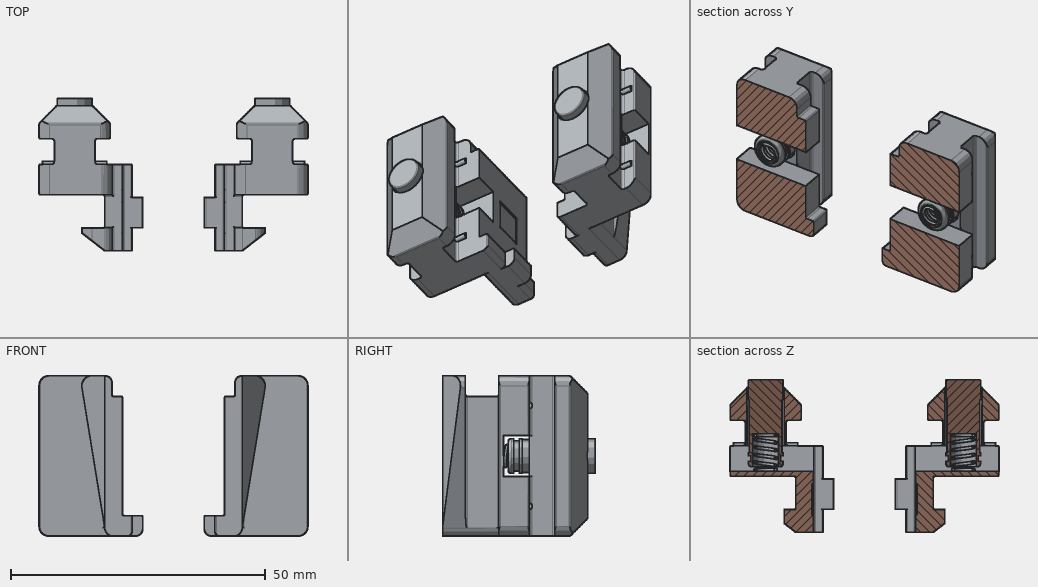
import cadquery as cq


OVERALL_WIDTH = 52.8
HEIGHT = 31.5
TOP = HEIGHT / 2
BOTTOM = -HEIGHT / 2

HEAD_WIDTH = 14.0
HEAD_FRONT = 22.0
HEAD_REAR = 28.5
HEAD_CHAMFER = 3.5
HEAD_CHAMFER_BLEND = 0.5
BLOCK_ROUND = 2.0

NECK_LEFT = 3.0
NECK_RIGHT = HEAD_WIDTH - NECK_LEFT
NECK_FILLET = 0.5

LUG_WIDTH = 14.35
LUG_FRONT = 11.0
LUG_REAR = 17.0
EDGE_FILLET = 0.3

RIDGE_RADIUS = 0.6
RIDGE_INSET = 0.65
RIDGE_HEIGHT = 9.9

WINDOW_FRONT = 12.0
WINDOW_HEIGHT = 8.0

PLATE_LEFT = 12.9
PLATE_RIGHT = 16.4
PLATE_TOP = 11.7
PLATE_ROUND = 1.7
LIP_TOP = -11.7
LIP_RIGHT = 18.3
LIP_ROUND = 1.0
TAB_RIGHT = 20.4
TAB_ROUND = 1.5
TAB_FRONT = 4.5
TAB_REAR = 10.5

RECESS_FRONT = 3.5
RECESS_LENGTH = 6.0
RECESS_HEIGHT = 6.8
RECESS_DEPTH = 0.3

HOOK_REAR = 4.5
HOOK_ROUND = 1.4
WING_TIP = 8.05
WING_BOTTOM = BOTTOM + PLATE_ROUND
WING_ROUND = 2.0
WING_TIP_FRONT = 3.8

BUTTON_X = HEAD_WIDTH / 2
BORE_DIAMETER = 7.3
BUTTON_DIAMETER = 6.85
SHANK_DIAMETER = 6.5
GROOVE_DIAMETER = 6.0
SOCKET_DIAMETER = 5.0
BUTTON_REAR = 30.0
BUTTON_FRONT = 12.87
CAP_FRONT = 26.0
COLLAR_REAR = 15.6
GROOVE_REAR = 15.0
GROOVE_FRONT = 14.0
BUTTON_NOSE_ROUND = 0.6
BUTTON_CAP_ROUND = 0.25

COIL_DIAMETER = 4.0
WIRE_DIAMETER = 0.6
COIL_PITCH = 1.5
COIL_TURNS = 4.5
COIL_LENGTH = COIL_PITCH * COIL_TURNS

SELECTION_MARGIN = 0.01


def block(x_range, y_range, z_range):
    """Box between the given limits along each axis."""
    limits = (x_range, y_range, z_range)
    sizes = [high - low for low, high in limits]
    corner = [low for low, high in limits]
    return cq.Workplane("XY").box(*sizes, centered=False).translate(tuple(corner))


def edges_within(body, low, high):
    """Edges of the body whose middles lie between two corners, with a small margin."""
    low = tuple(value - SELECTION_MARGIN for value in low)
    high = tuple(value + SELECTION_MARGIN for value in high)
    return body.edges(cq.selectors.BoxSelector(low, high))


def make_head():
    """Overlap of three outlines: chamfered plan, chamfered side profile and rounded front outline."""
    full = block((0, HEAD_WIDTH), (HEAD_FRONT, HEAD_REAR), (BOTTOM, TOP))
    blend_y = HEAD_REAR - HEAD_CHAMFER

    plan = full.edges("|Z and >Y").chamfer(HEAD_CHAMFER)
    plan = edges_within(plan, (0, blend_y, 0), (HEAD_WIDTH, blend_y, 0)).fillet(HEAD_CHAMFER_BLEND)
    plan = plan.edges("|Z and <Y").fillet(EDGE_FILLET)

    mid_x = HEAD_WIDTH / 2
    profile = full.edges("|X and >Y").chamfer(HEAD_CHAMFER)
    profile = edges_within(profile, (mid_x, blend_y, BOTTOM), (mid_x, blend_y, TOP))
    profile = profile.fillet(HEAD_CHAMFER_BLEND)

    rounded = full.edges("|Y").fillet(BLOCK_ROUND)
    return plan.intersect(profile).intersect(rounded)


def make_lug():
    """Overlap of a plan with softened outer edges and a front outline with rounded corners."""
    full = block((0, LUG_WIDTH), (LUG_FRONT, LUG_REAR), (BOTTOM, TOP))
    plan = full.edges("|Z and <X").fillet(EDGE_FILLET)
    rounded = full.edges("|Y and (<X or >Z)").fillet(BLOCK_ROUND)
    return plan.intersect(rounded)


def make_hook():
    """Upright on the plate, and the wing beside it, cut back by a vertical slanted plane."""
    upright = block((PLATE_LEFT, LUG_WIDTH), (0, HOOK_REAR), (WING_BOTTOM, TOP))
    upright = upright.edges("|Y and >X and >Z").fillet(HOOK_ROUND)

    wing = (
        cq.Workplane("XZ")
        .polyline([(PLATE_LEFT, WING_BOTTOM), (PLATE_LEFT, TOP), (WING_TIP, TOP)])
        .close()
        .extrude(-HOOK_REAR)
        .edges("|Y and <X")
        .fillet(WING_ROUND)
    )
    slant = (
        cq.Workplane("XY")
        .polyline([(PLATE_LEFT, 0), (WING_TIP, WING_TIP_FRONT), (WING_TIP, 0)])
        .close()
        .extrude(HEIGHT)
        .translate((0, 0, BOTTOM))
    )
    return upright.union(wing.cut(slant))


def make_plate():
    """Plate with its lip and tab; the lower left edge is still square."""
    plate = block((PLATE_LEFT, PLATE_RIGHT), (0, LUG_REAR), (BOTTOM, PLATE_TOP))

    square_lip = block((PLATE_LEFT, LIP_RIGHT), (0, LUG_REAR), (BOTTOM, LIP_TOP))
    lip = square_lip.edges(">X and (|Z or >Z)").fillet(EDGE_FILLET)
    lip = lip.intersect(square_lip.edges("|Y and >X and <Z").fillet(LIP_ROUND))

    tab = block((PLATE_LEFT, TAB_RIGHT), (TAB_FRONT, TAB_REAR), (BOTTOM, LIP_TOP))
    tab = tab.edges("|Y and >X and <Z").fillet(TAB_ROUND)
    tab = tab.edges("|Y and >X and >Z").fillet(EDGE_FILLET)

    body = plate.union(lip).union(tab)
    low = (PLATE_RIGHT, 0, LIP_TOP)
    high = (PLATE_RIGHT, LUG_REAR, PLATE_TOP)
    return edges_within(body, low, high).edges("|Y").fillet(EDGE_FILLET)


def make_plate_round_cut():
    """Material outside the round along the lower left edge of the plate, in front of the lug."""
    square = block(
        (PLATE_LEFT - EDGE_FILLET, PLATE_LEFT + PLATE_ROUND),
        (0, LUG_FRONT),
        (BOTTOM, BOTTOM + PLATE_ROUND),
    )
    roller = (
        cq.Workplane("XZ", origin=(PLATE_LEFT + PLATE_ROUND, 0, BOTTOM + PLATE_ROUND))
        .circle(PLATE_ROUND)
        .extrude(-LUG_FRONT)
    )
    return square.cut(roller)


def make_front():
    """Lug, plate and hook as one piece, with the inner corners around the hook gap filleted."""
    front = make_lug().union(make_plate()).union(make_hook())
    inner_corners = [
        ((PLATE_LEFT, LUG_FRONT, BOTTOM + EDGE_FILLET), (LUG_WIDTH, LUG_FRONT, PLATE_TOP)),
        ((PLATE_LEFT, HOOK_REAR, BOTTOM), (LUG_WIDTH, HOOK_REAR, PLATE_TOP)),
        ((LUG_WIDTH, 0, PLATE_TOP), (LUG_WIDTH, LUG_REAR, PLATE_TOP)),
    ]
    edges = []
    for low, high in inner_corners:
        edges += edges_within(front, low, high).vals()
    front = front.newObject(edges).fillet(EDGE_FILLET)

    window = block((0, PLATE_RIGHT), (WINDOW_FRONT, LUG_REAR), (-WINDOW_HEIGHT / 2, WINDOW_HEIGHT / 2))
    return front.cut(make_plate_round_cut()).cut(window)


def fillet_neck_corners(housing):
    """Round the four inner neck corners; the window interrupts the two at the lug."""
    half_window = WINDOW_HEIGHT / 2
    corner_ranges = [
        ((NECK_LEFT, LUG_REAR, half_window), (NECK_RIGHT, LUG_REAR, TOP)),
        ((NECK_LEFT, LUG_REAR, BOTTOM), (NECK_RIGHT, LUG_REAR, -half_window)),
        ((NECK_LEFT, HEAD_FRONT, BOTTOM), (NECK_RIGHT, HEAD_FRONT, TOP)),
    ]
    for low, high in corner_ranges:
        housing = edges_within(housing, low, high).edges("|Z").fillet(NECK_FILLET)
    return housing


def make_ridge(left, z):
    return (
        cq.Workplane("YZ", origin=(left, LUG_REAR, z))
        .circle(RIDGE_RADIUS)
        .extrude(NECK_LEFT - RIDGE_INSET)
    )


def make_housing():
    neck = block((NECK_LEFT, NECK_RIGHT), (LUG_REAR, HEAD_FRONT), (BOTTOM, TOP))
    housing = fillet_neck_corners(make_front().union(neck).union(make_head()))

    for left in (RIDGE_INSET, NECK_RIGHT):
        for z in (-RIDGE_HEIGHT, RIDGE_HEIGHT):
            housing = housing.union(make_ridge(left, z))

    bore = (
        cq.Workplane("XZ", origin=(BUTTON_X, LUG_REAR, 0))
        .circle(BORE_DIAMETER / 2)
        .extrude(LUG_REAR - HEAD_REAR)
    )
    recess = block(
        (PLATE_RIGHT - RECESS_DEPTH, PLATE_RIGHT),
        (RECESS_FRONT, RECESS_FRONT + RECESS_LENGTH),
        (-RECESS_HEIGHT / 2, RECESS_HEIGHT / 2),
    )
    return housing.cut(bore).cut(recess)


def make_button():
    """Turned button: half outline of radius against Y, revolved about its own axis."""
    button_radius = BUTTON_DIAMETER / 2
    shank_radius = SHANK_DIAMETER / 2
    groove_radius = GROOVE_DIAMETER / 2
    socket_radius = SOCKET_DIAMETER / 2
    socket_end = WINDOW_FRONT + COIL_LENGTH + WIRE_DIAMETER
    outline = [
        (0, BUTTON_REAR),
        (button_radius, BUTTON_REAR),
        (button_radius, CAP_FRONT),
        (shank_radius, CAP_FRONT),
        (shank_radius, COLLAR_REAR),
        (button_radius, COLLAR_REAR),
        (button_radius, GROOVE_REAR),
        (groove_radius, GROOVE_REAR),
        (groove_radius, GROOVE_FRONT),
        (button_radius, GROOVE_FRONT),
        (button_radius, BUTTON_FRONT),
        (socket_radius, BUTTON_FRONT),
        (socket_radius, socket_end),
        (0, socket_end),
    ]
    button = cq.Workplane("XY").polyline(outline).close().revolve(360, (0, 0), (0, 1))
    button = button.faces(">Y").edges().fillet(BUTTON_CAP_ROUND)
    nose = button.faces("<Y").edges(cq.selectors.RadiusNthSelector(-1))
    button = nose.fillet(BUTTON_NOSE_ROUND)
    return button.translate((BUTTON_X, 0, 0))


def make_spring():
    """Coil from the window wall to the end of the button socket, with a flat half turn at each end."""
    coil_radius = COIL_DIAMETER / 2
    wire_radius = WIRE_DIAMETER / 2
    path = cq.Wire.makeHelix(COIL_PITCH, COIL_LENGTH, coil_radius)
    section = cq.Workplane("XZ").center(coil_radius, 0)
    coil = section.circle(wire_radius).sweep(cq.Workplane(path), isFrenet=True)
    half_turn = section.circle(wire_radius).revolve(180, (-coil_radius, 1), (-coil_radius, 0))
    spring = coil.union(half_turn).union(half_turn.translate((0, 0, COIL_LENGTH)))

    spring = spring.rotate((0, 0, 0), (0, 0, 1), 180).rotate((0, 0, 0), (1, 0, 0), -90)
    return spring.translate((BUTTON_X, WINDOW_FRONT + wire_radius, 0))


housing = make_housing().solids().val()
button = make_button().solids().val()
spring = make_spring().solids().val()

to_left = cq.Vector(-OVERALL_WIDTH / 2, 0, 0)
left_unit = [body.translate(to_left) for body in (housing, button, spring)]
right_unit = [body.mirror("YZ") for body in left_unit]
result = cq.Compound.makeCompound(left_unit + right_unit)